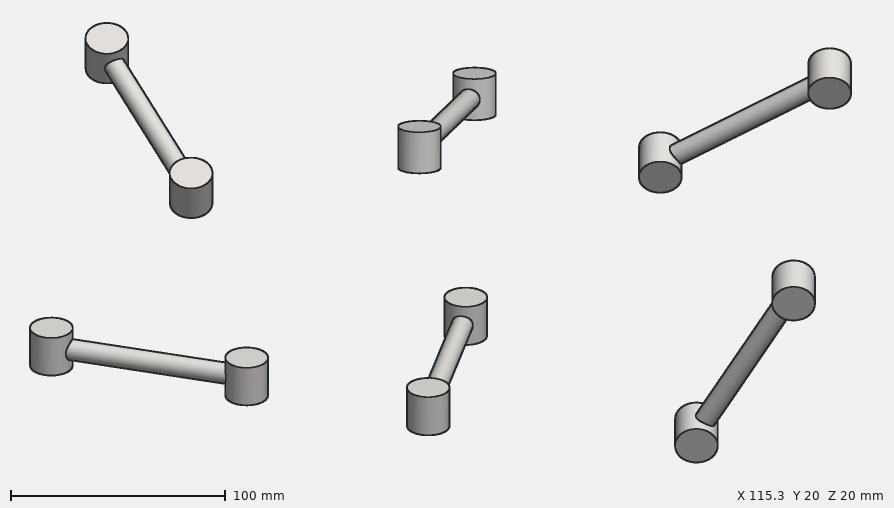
import cadquery as cq

overall_length = 115.3
post_diameter = 20.0
post_height = post_diameter
rod_diameter = post_diameter / 2

post_offset = (overall_length - post_diameter) / 2


def make_post(x_position):
    """Plain upright cylinder, centred in height on the rod axis."""
    return cq.Workplane("XY").cylinder(post_height, post_diameter / 2).translate((x_position, 0, 0))


def make_rod(end_posts):
    """Round bar along X, its ends hollowed to sit against the round posts."""
    bar = (
        cq.Workplane("YZ", origin=(-post_offset, 0, 0))
        .circle(rod_diameter / 2)
        .extrude(2 * post_offset)
    )
    for post in end_posts:
        bar = bar.cut(post)
    return bar


posts = [make_post(side * post_offset) for side in (-1, 1)]
rod = make_rod(posts)

result = cq.Compound.makeCompound([*rod.solids().vals(), *[post.val() for post in posts]])